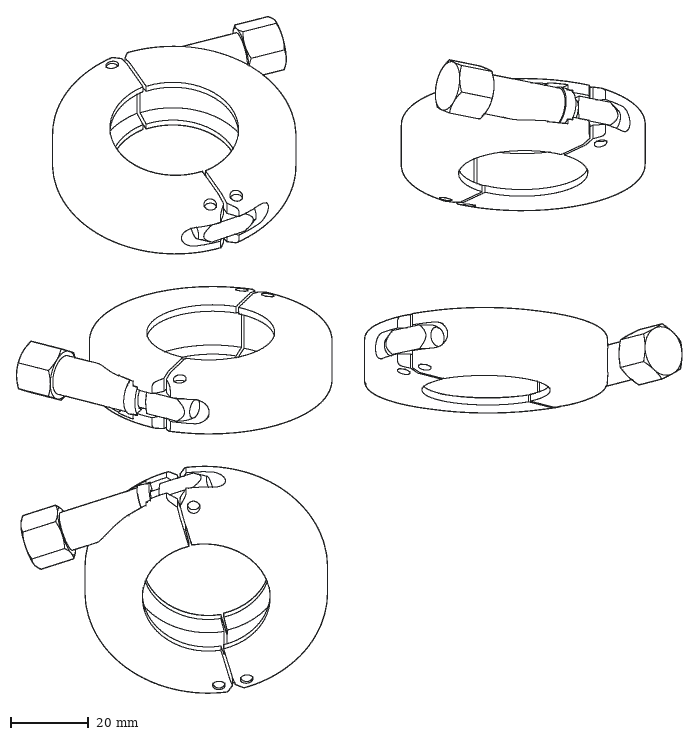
import cadquery as cq
import math

ring_radius = 31.8
ring_height = 15.9
half_height = ring_height / 2
flat_radius = 26.2
cone_angle = 15.0
rim_fillet = 1.3
bore_radius = 17.0
lip_height = 1.8
groove_radius = 20.5
split_offset = 0.9
split_gap = 0.8
lower_shift_x = -0.2
corner_depth = 2.2
corner_start_x = 29.15

pin_diameter = 3.15
pin_hole_diameter = 3.2
pin_length = 12.5
pin_radius_x = 28.05
pin_from_split = 3.3

bar_width = 6.3
bar_end = 4.5
bar_tip_diameter = 5.0
bar_taper_length = 3.4
head_length = 8.4
head_bevel = 0.3
bolt_tilt = 7.4
bolt_length = 36.7
slot_width = 6.8
slot_end = 5.35

nut_seat = 13.45
hex_start = 35.2
nut_end = 45.4
hex_across_flats = 12.7
hex_chamfer_angle = 30.0
sleeve_diameter = 10.3
washer_diameter = 10.7
washer_bore = 7.0
washer_shoulder_y = 8.45
washer_bottom_y = 7.2
tongue_height = 8.1

open_reach = 14.7
split_y = split_gap / 2
upper_centre_y = split_y - split_offset
pin_y = split_y + pin_from_split
bolt_pin = (lower_shift_x - pin_radius_x, -pin_y)
lower_link_pin = (lower_shift_x + pin_radius_x, -pin_y)
upper_link_pin = (pin_radius_x, pin_y)
link_pitch = math.dist(lower_link_pin, upper_link_pin)
link_tilt = math.degrees(math.atan2(-lower_shift_x, 2 * pin_y))
washer_x = bolt_pin[0] + (washer_bottom_y + pin_y) * math.tan(math.radians(bolt_tilt))


def cylinder_y(diameter, start, end):
    """Round bar along Y between two Y positions."""
    return cq.Workplane("XZ", origin=(0, start, 0)).circle(diameter / 2).extrude(start - end)


def box_y(x_start, x_end, height, start, end):
    """Box centred on Z = 0 between two X and two Y positions."""
    middle = ((x_start + x_end) / 2, (start + end) / 2, 0)
    return cq.Workplane("XY").box(x_end - x_start, end - start, height).translate(middle)


def open_channel(width, start, end):
    """Round-bottomed channel along Y, open toward -X."""
    return cylinder_y(width, start, end).union(box_y(-open_reach, 0, width, start, end))


def ball_groove(start, end):
    """Channel for a bar, with the swept ball end of the cutter at its start."""
    radius = slot_width / 2
    nose = (
        cq.Workplane("XY")
        .moveTo(0, start - radius)
        .radiusArc((radius, start), -radius)
        .lineTo(radius, end)
        .lineTo(0, end)
        .close()
        .revolve(360, (0, 0, 0), (0, 1, 0))
    )
    outlet = cq.Workplane("YZ").center(start, 0).circle(radius).extrude(-open_reach)
    return nose.union(box_y(-open_reach, 0, slot_width, start, end)).union(outlet)


def on_bolt_axis(shape):
    """Move a shape built along Y at the origin onto the tilted bolt axis."""
    return shape.rotate((0, 0, 0), (0, 0, 1), -bolt_tilt).translate((*bolt_pin, 0))


def on_link_axis(shape):
    """Turn a shape built along Y, opening to -X, onto the link, opening to +X."""
    middle = (pin_radius_x + lower_shift_x / 2, 0, 0)
    return shape.rotate((0, 0, 0), (0, 0, 1), 180 - link_tilt).translate(middle)


def pin_rod(diameter, length, place):
    """Upright rod at one pin place, used for the pins and for their holes."""
    return cq.Workplane("XY", origin=(*place, -length / 2)).circle(diameter / 2).extrude(length)


def cut_pin_holes(body, places):
    for place in places:
        body = body.cut(pin_rod(pin_hole_diameter, ring_height, place))
    return body


def ring_half():
    """Plain half ring on the +Y side, with the ring axis at the origin."""
    slope = math.tan(math.radians(cone_angle))
    rim_z = half_height - (ring_radius - flat_radius) * slope
    lip_z = half_height - lip_height
    groove_z = lip_z - (groove_radius - bore_radius) * slope
    profile = [
        (bore_radius, half_height), (flat_radius, half_height), (ring_radius, rim_z),
        (ring_radius, -rim_z), (flat_radius, -half_height), (bore_radius, -half_height),
        (bore_radius, -lip_z), (groove_radius, -groove_z), (groove_radius, groove_z), (bore_radius, lip_z),
    ]
    ring = cq.Workplane("XZ").polyline(profile).close().revolve(360, (0, 0, 0), (0, 1, 0))
    ring = ring.edges(cq.selectors.RadiusNthSelector(-1)).fillet(rim_fillet)
    half = ring.intersect(box_y(-ring_radius, ring_radius, ring_height, split_offset, ring_radius))
    corner_end_x = math.sqrt(ring_radius**2 - (split_offset + corner_depth) ** 2)
    corner = (
        cq.Workplane("XY", origin=(0, 0, -half_height))
        .moveTo(corner_start_x, split_offset)
        .lineTo(corner_end_x, split_offset + corner_depth)
        .lineTo(open_reach + ring_radius, split_offset + corner_depth)
        .lineTo(open_reach + ring_radius, split_offset)
        .close()
        .extrude(ring_height)
    )
    return half.cut(corner).cut(corner.mirror("YZ"))


def washer_envelope():
    """Space taken by the washer, open toward -X: a round shoulder with a flat-sided tongue below it."""
    shoulder = open_channel(washer_diameter, washer_shoulder_y, nut_seat)
    tongue = open_channel(washer_diameter, washer_bottom_y, washer_shoulder_y)
    tongue = tongue.intersect(
        box_y(-open_reach, open_reach, tongue_height, washer_bottom_y, washer_shoulder_y))
    return shoulder.union(tongue).translate((washer_x, 0, 0))


bolt_groove = on_bolt_axis(ball_groove(-slot_end, nut_seat))
link_reach = link_pitch / 2 + slot_end
link_groove = on_link_axis(ball_groove(-link_reach, 0)).union(
    on_link_axis(ball_groove(-link_reach, 0).mirror("XZ")))
nut_channel = on_bolt_axis(open_channel(sleeve_diameter, nut_seat, hex_start))

upper_half = (
    ring_half()
    .translate((0, upper_centre_y, 0))
    .cut(link_groove)
    .cut(bolt_groove)
    .cut(washer_envelope())
    .cut(nut_channel)
)
upper_half = cut_pin_holes(upper_half, [upper_link_pin])
lower_half = (
    ring_half()
    .rotate((0, 0, 0), (0, 0, 1), 180)
    .translate((lower_shift_x, -upper_centre_y, 0))
    .cut(link_groove)
    .cut(bolt_groove)
)
lower_half = cut_pin_holes(lower_half, [lower_link_pin, bolt_pin])

pins = [pin_rod(pin_diameter, pin_length, place) for place in (bolt_pin, lower_link_pin, upper_link_pin)]


def bar(start, end):
    """Bar along Y with a round inner side and a square outer side toward -X."""
    return cylinder_y(bar_width, start, end).union(box_y(-bar_width / 2, 0, bar_width, start, end))


def tapered_bar(start, end, bevel=0.0):
    """Bar whose start narrows to a round tip, with an optional bevel on the corners of its end."""
    tip_radius = bar_tip_diameter / 2
    corner_radius = bar_width / math.sqrt(2)
    taper = (
        cq.Workplane("XY")
        .polyline([
            (0, start), (tip_radius, start), (corner_radius, start + bar_taper_length),
            (corner_radius, end - bevel), (bar_width / 2, end), (0, end),
        ])
        .close()
        .revolve(360, (0, 0, 0), (0, 1, 0))
    )
    return bar(start, end).intersect(taper)


link_end = link_pitch / 2 + bar_end
link_side = tapered_bar(-link_end, 0)
link = on_link_axis(link_side.union(link_side.mirror("XZ")))
link = cut_pin_holes(link, [lower_link_pin, upper_link_pin])

bolt_shank = cylinder_y(bar_width, head_length, bolt_length)
eye_bolt = on_bolt_axis(tapered_bar(-bar_end, head_length, head_bevel).union(bolt_shank))
eye_bolt = cut_pin_holes(eye_bolt, [bolt_pin])


def long_nut():
    """Hexagon nut with a long plain sleeve and a blind hole for the bolt."""
    corner_radius = hex_across_flats / math.sqrt(3)
    flat = hex_across_flats / 2
    drop = (corner_radius - flat) * math.tan(math.radians(hex_chamfer_angle))
    hexagon = (
        cq.Workplane("XZ", origin=(0, hex_start, 0))
        .transformed(rotate=(0, 0, 90))
        .polygon(6, 2 * corner_radius)
        .extrude(hex_start - nut_end)
    )
    crown = (
        cq.Workplane("XY")
        .polyline([
            (0, hex_start), (flat, hex_start), (corner_radius, hex_start + drop),
            (corner_radius, nut_end - drop), (flat, nut_end), (0, nut_end),
        ])
        .close()
        .revolve(360, (0, 0, 0), (0, 1, 0))
    )
    sleeve = cylinder_y(sleeve_diameter, nut_seat, hex_start)
    nut = hexagon.intersect(crown).union(sleeve)
    return on_bolt_axis(nut.cut(cylinder_y(bar_width, nut_seat, bolt_length)))


nut = long_nut()

washer_round = cylinder_y(washer_diameter, washer_bottom_y, nut_seat).translate((washer_x, 0, 0))
above_seat = on_bolt_axis(box_y(-open_reach, open_reach, ring_height, nut_seat, 2 * nut_seat))
washer = (
    washer_round
    .intersect(washer_envelope())
    .cut(above_seat)
    .cut(on_bolt_axis(cylinder_y(washer_bore, 0, 2 * nut_seat)))
)

result = cq.Compound.makeCompound([
    upper_half.val(), lower_half.val(), *[pin.val() for pin in pins],
    link.val(), eye_bolt.val(), nut.val(), washer.val(),
])